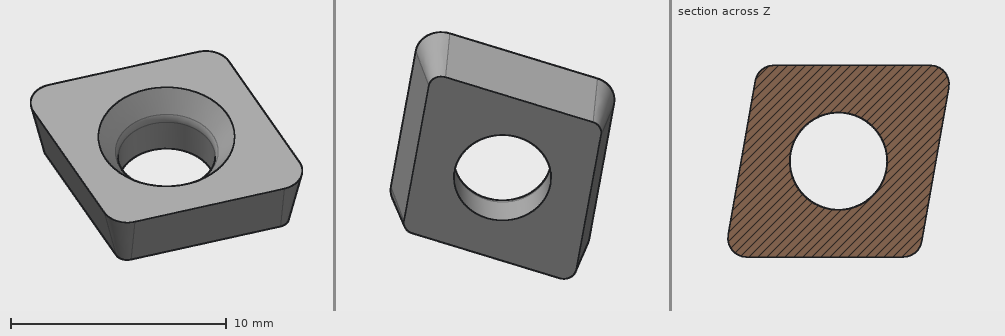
import cadquery as cq
import math

length = 10.89
thickness = 3.18
acute_angle = math.radians(80)
corner_radius = 1.2
relief_angle = 11.0

bore_diameter = 4.5
bore_radius = bore_diameter / 2
sink_diameter = 6.32
sink_radius = sink_diameter / 2
sink_half_angle = math.radians(38)
blend_radius = 0.63

lean = 1 / math.tan(acute_angle)
half_side_per_height = 1 / math.sin(acute_angle)
center_y = (length / 2 - corner_radius) / (half_side_per_height + lean)
half_height = center_y + corner_radius

corner_shift = half_height * lean
outer_half_side = half_height * half_side_per_height


def insert_body():
    """Rounded rhombus narrowing downward with constant relief on every side."""
    corners = [
        (-outer_half_side - corner_shift, -half_height),
        (outer_half_side - corner_shift, -half_height),
        (outer_half_side + corner_shift, half_height),
        (-outer_half_side + corner_shift, half_height),
    ]
    outline = cq.Sketch().polygon(corners + corners[:1]).vertices().fillet(corner_radius)
    return (
        cq.Workplane("XY", origin=(0, 0, thickness))
        .placeSketch(outline)
        .extrude(-thickness, taper=relief_angle)
    )


def screw_hole():
    """Revolved cutter: bore, tangent blend arc and conical countersink."""
    blend_center_r = bore_radius + blend_radius

    def blend_offset(angle):
        """Radius and rise of a blend point above the end of the bore."""
        radius = blend_center_r - blend_radius * math.cos(angle)
        return radius, blend_radius * math.sin(angle)

    mid_r, mid_rise = blend_offset(sink_half_angle / 2)
    end_r, end_rise = blend_offset(sink_half_angle)
    cone_depth = (sink_radius - end_r) / math.tan(sink_half_angle)
    bore_top = thickness - cone_depth - end_rise
    return (
        cq.Workplane("XZ")
        .lineTo(bore_radius, 0)
        .lineTo(bore_radius, bore_top)
        .threePointArc((mid_r, bore_top + mid_rise), (end_r, bore_top + end_rise))
        .lineTo(sink_radius, thickness)
        .lineTo(0, thickness)
        .close()
        .revolve(360, (0, 0), (0, 1))
    )


result = insert_body().cut(screw_hole())